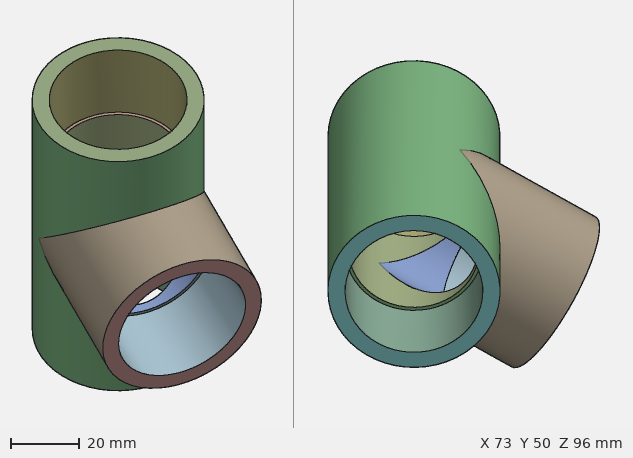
import cadquery as cq

outer_diameter = 50.0
socket_diameter = 40.0
bore_diameter = 38.0
socket_depth = 26.0
arm_length = 48.0
run_length = 2 * arm_length

run_direction_up = (0, 0, 1)
run_direction_down = (0, 0, -1)
branch_direction = (1, 0, 0)
arm_directions = (run_direction_up, run_direction_down, branch_direction)


def cylinder_along(direction, diameter, start, length):
    """Cylinder on an axis through the origin, beginning `start` along it."""
    base = cq.Vector(*direction) * start
    return cq.Workplane(cq.Solid.makeCylinder(diameter / 2, length, base, cq.Vector(*direction)))


def tee(diameter):
    """Run cylinder with the branch cylinder joined to its middle."""
    run = cylinder_along(run_direction_up, diameter, -arm_length, run_length)
    branch = cylinder_along(branch_direction, diameter, 0, arm_length)
    return run.union(branch)


def socket(direction):
    """Enlarged bore that ends on a shoulder where the pipe stops."""
    return cylinder_along(direction, socket_diameter, arm_length - socket_depth, socket_depth)


result = tee(outer_diameter).cut(tee(bore_diameter))
for arm_direction in arm_directions:
    result = result.cut(socket(arm_direction))